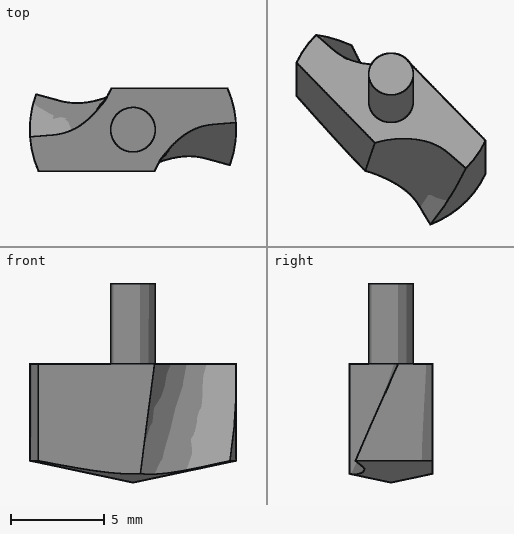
import cadquery as cq
import math

blade_diameter = 11.1
blade_thickness = 4.47
overall_height = 10.7
pin_diameter = 2.4
pin_length = 4.31
tip_slope = 12.0

lip_start_x = 4.34
lip_start_y = 0.29
lip_slope = 4.5
flute_wall = (2.69, -0.33)
flute_heel = (1.47, -1.66)
heel_slope = 67.0
heel_length = 2.78
lip_length = 3.88
lip_twist = 24.1

blade_radius = blade_diameter / 2
rim_z = blade_radius * math.tan(math.radians(tip_slope))
blade_top = overall_height - pin_length
twist_angle = lip_twist * blade_top / (blade_top - rim_z)


def shifted(point, angle, distance):
    """Point moved by a distance along a direction in degrees."""
    direction = math.radians(angle)
    return (
        point[0] + distance * math.cos(direction),
        point[1] + distance * math.sin(direction),
    )


def make_blade():
    """Round, cone-ended blank cut to a flat slab."""
    blank = (
        cq.Workplane("XZ")
        .polyline([(0, 0), (blade_radius, rim_z), (blade_radius, blade_top), (0, blade_top)])
        .close()
        .revolve(360, (0, 0), (0, 1))
    )
    slab = cq.Workplane("XY").box(
        blade_diameter, blade_thickness, blade_top, centered=(True, True, False)
    )
    return blank.intersect(slab)


def make_flute():
    """Twisted flute cutter: straight lip and one smooth curved wall out to the heel."""
    lip_start = (lip_start_x, lip_start_y)
    lip_end = shifted(lip_start, lip_slope, lip_length)
    heel_end = shifted(flute_heel, heel_slope + 180, heel_length)
    lip_tangent = shifted((0, 0), lip_slope + 180, 1)
    heel_tangent = shifted((0, 0), heel_slope + 180, 1)
    outer_corner = (lip_end[0], heel_end[1])
    return (
        cq.Workplane("XY")
        .moveTo(*lip_end)
        .lineTo(*lip_start)
        .spline(
            [flute_wall, flute_heel, heel_end],
            tangents=[lip_tangent, heel_tangent],
            includeCurrent=True,
        )
        .lineTo(*outer_corner)
        .close()
        .twistExtrude(blade_top, twist_angle)
        .rotate((0, 0, 0), (0, 0, 1), -twist_angle)
    )


blade = make_blade()
flute = make_flute()
for turn in (0, 180):
    blade = blade.cut(flute.rotate((0, 0, 0), (0, 0, 1), turn))

pin = cq.Workplane("XY").workplane(offset=blade_top).circle(pin_diameter / 2).extrude(pin_length)
result = blade.union(pin)